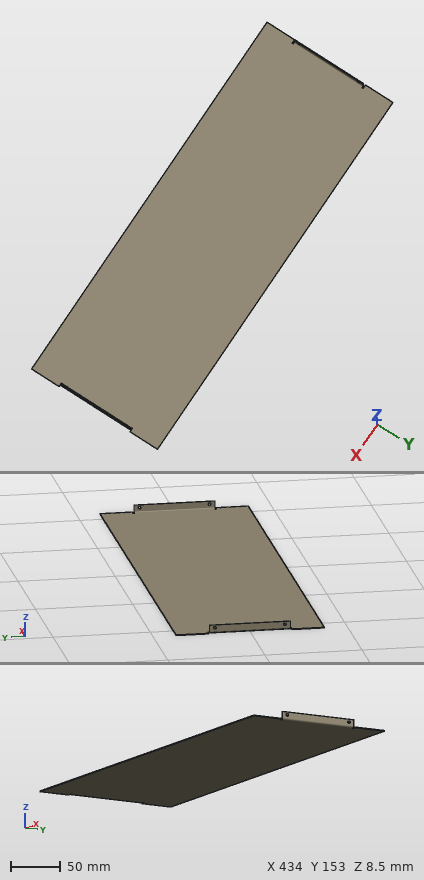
import cadquery as cq

length = 434.0
width = 153.0
thickness = 1.0

total_height = 8.5
flange_width = 83.5
flange_inset = 1.5
inner_bend_radius = 1.0
outer_bend_radius = inner_bend_radius + thickness

relief_width = 1.5
relief_clearance = 1.0
relief_depth = flange_inset + outer_bend_radius + relief_clearance
notch_width = flange_width + 2 * relief_width

hole_diameter = 2.5
hole_spacing = 72.0
hole_height = 5.5

flange_outer_x = length / 2 - flange_inset
flange_inner_x = flange_outer_x - thickness
bend_start_x = flange_outer_x - outer_bend_radius
notch_inner_x = length / 2 - relief_depth


def make_sheet():
    """Flat rectangle with a notch in the middle of each short end."""
    sheet = cq.Workplane("XY").box(length, width, thickness, centered=(True, True, False))
    notches = (
        cq.Workplane("XY")
        .pushPoints([(-length / 2, 0), (length / 2, 0)])
        .rect(2 * relief_depth, notch_width)
        .extrude(thickness)
    )
    return sheet.cut(notches)


def make_flange():
    """Right-hand flange: bent strip with two holes, rooted at the notch floor."""
    strip = (
        cq.Workplane("XZ")
        .moveTo(notch_inner_x, 0)
        .lineTo(bend_start_x, 0)
        .radiusArc((flange_outer_x, outer_bend_radius), -outer_bend_radius)
        .lineTo(flange_outer_x, total_height)
        .lineTo(flange_inner_x, total_height)
        .lineTo(flange_inner_x, outer_bend_radius)
        .radiusArc((bend_start_x, thickness), inner_bend_radius)
        .lineTo(notch_inner_x, thickness)
        .close()
        .extrude(flange_width / 2, both=True)
    )
    holes = (
        cq.Workplane("YZ", origin=(flange_inner_x, 0, 0))
        .pushPoints([(-hole_spacing / 2, hole_height), (hole_spacing / 2, hole_height)])
        .circle(hole_diameter / 2)
        .extrude(thickness)
    )
    return strip.cut(holes)


right_flange = make_flange()
left_flange = right_flange.mirror("YZ")
result = make_sheet().union(right_flange).union(left_flange)